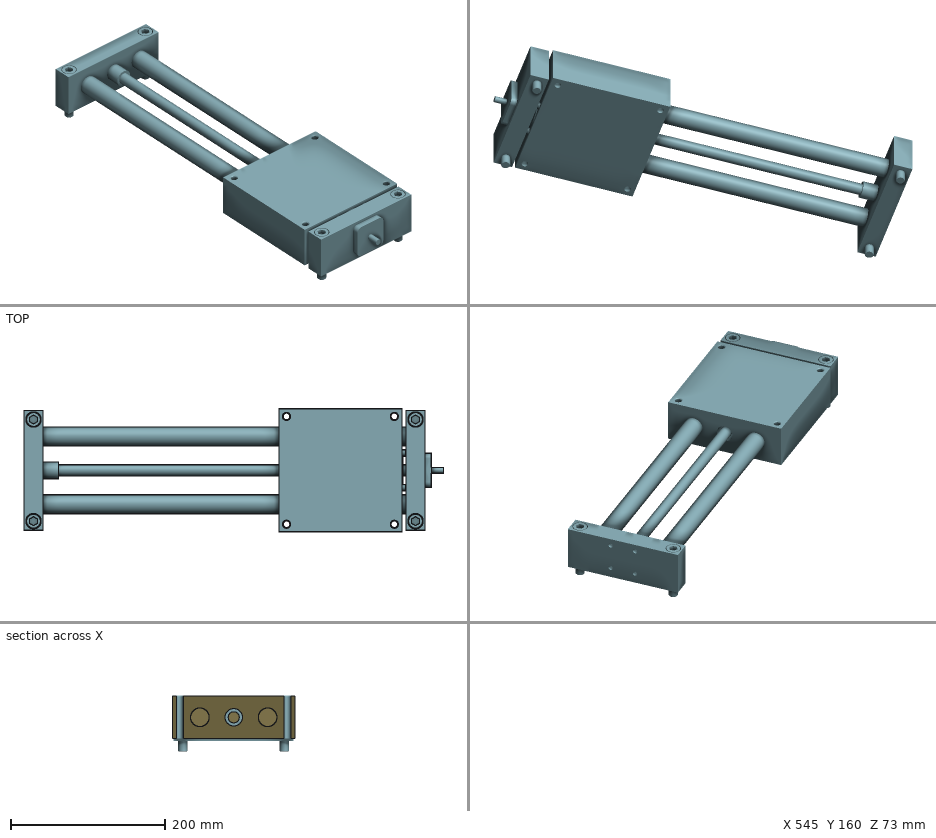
import cadquery as cq
import math


plate_thickness = 25.0
plate_width = 156.0
plate_top = 27.0
plate_bottom = -31.0
plate_height = plate_top - plate_bottom
plate_gap = 471.0
drive_plate_start = plate_thickness + plate_gap
drive_plate_end = drive_plate_start + plate_thickness

bearing_hole_diameter = 6.2
bearing_hole_depth = 12.0
bearing_hole_pitch = 34.5

screw_spacing = 132.0
screw_diameter = 12.0
screw_projection = 14.0
screw_tip_chamfer = 1.0
head_diameter = 18.0
head_height = 12.0
head_recess_diameter = 20.0
socket_across_flats = 10.0
socket_depth = 6.0
socket_turn = 30.0

rod_diameter = 25.0
rod_spacing = 88.0
lead_screw_diameter = 15.0
collar_diameter = 22.0
collar_length = 20.0

flange_size = 45.0
flange_thickness = 8.0
flange_corner_radius = 7.0
shaft_diameter = 8.0
shaft_length = 16.0

carriage_length = 160.0
carriage_width = 160.0
carriage_height = 56.0
nut_clearance = 5.0
carriage_end = drive_plate_start - nut_clearance
carriage_start = carriage_end - carriage_length
carriage_hole_diameter = 8.5
carriage_hole_mouth_diameter = 10.5
countersink_angle = 90.0
carriage_hole_pitch = 140.0
lead_screw_bore = 22.0

nut_flange_diameter = 48.0
nut_flange_thickness = 1.5
nut_screw_head_diameter = 8.5
nut_screw_head_projection = 4.5
nut_screw_spacing_y = 45.0
nut_screw_spacing_z = 39.0


def cylinder_x(diameter, start, length, y=0.0, z=0.0):
    """Cylinder along X that begins at X = start."""
    return cq.Workplane("YZ", origin=(start, y, z)).circle(diameter / 2).extrude(length)


def cylinder_z(diameter, bottom, height, x, y):
    """Cylinder along Z that begins at Z = bottom."""
    return cq.Workplane("XY", origin=(x, y, bottom)).circle(diameter / 2).extrude(height)


def block(length, width, height, start, bottom):
    """Box centred on Y = 0 that begins at X = start and Z = bottom."""
    box = cq.Workplane("XY").box(length, width, height, centered=(False, True, False))
    return box.translate((start, 0, bottom))


def mounting_screw(plate, x, y):
    """Sink one socket head screw into an end plate and let its shank stand out below."""
    head_bottom = plate_top - head_height
    recess = cylinder_z(head_recess_diameter, head_bottom, head_height, x, y)
    head = cylinder_z(head_diameter, head_bottom, head_height, x, y)
    socket = (
        cq.Workplane("XY", origin=(x, y, plate_top - socket_depth))
        .polygon(6, socket_across_flats / math.cos(math.pi / 6))
        .extrude(socket_depth)
        .rotate((x, y, 0), (x, y, 1), socket_turn)
    )
    tip = plate_bottom - screw_projection
    shank = cylinder_z(screw_diameter, tip, head_bottom - tip, x, y)
    shank = shank.faces("<Z").chamfer(screw_tip_chamfer)
    return plate.cut(recess).union(head).cut(socket).union(shank)


def end_plate(start):
    """End plate with its two mounting screws."""
    plate = block(plate_thickness, plate_width, plate_height, start, plate_bottom)
    for side in (-1, 1):
        plate = mounting_screw(plate, start + plate_thickness / 2, side * screw_spacing / 2)
    return plate


def idle_plate():
    """End plate with a square pattern of blind holes in its outer face."""
    holes = (
        cq.Workplane("YZ")
        .rarray(bearing_hole_pitch, bearing_hole_pitch, 2, 2)
        .circle(bearing_hole_diameter / 2)
        .extrude(bearing_hole_depth)
    )
    return end_plate(0.0).cut(holes)


def drive_flange():
    """Square flange with rounded corners, and the drive shaft that stands out of it."""
    flange = (
        cq.Workplane("YZ", origin=(drive_plate_end, 0, 0))
        .rect(flange_size, flange_size)
        .extrude(flange_thickness)
        .edges("|X")
        .fillet(flange_corner_radius)
    )
    shaft = cylinder_x(shaft_diameter, drive_plate_end + flange_thickness, shaft_length)
    return flange.union(shaft)


def make_frame():
    """Fixed body: end plates, guide rods, lead screw and drive flange."""
    frame = idle_plate().union(end_plate(drive_plate_start)).union(drive_flange())
    for side in (-1, 1):
        frame = frame.union(cylinder_x(rod_diameter, plate_thickness, plate_gap, side * rod_spacing / 2))
    frame = frame.union(cylinder_x(lead_screw_diameter, plate_thickness, plate_gap))
    return frame.union(cylinder_x(collar_diameter, plate_thickness, collar_length))


def make_carriage():
    """Sliding body: block with guide bores, mounting holes and a nut flange."""
    carriage = block(carriage_length, carriage_width, carriage_height, carriage_start, -carriage_height / 2)
    carriage = (
        carriage.faces(">Z")
        .workplane(origin=((carriage_start + carriage_end) / 2, 0, 0))
        .rarray(carriage_hole_pitch, carriage_hole_pitch, 2, 2)
        .cskHole(carriage_hole_diameter, carriage_hole_mouth_diameter, countersink_angle)
    )
    for side in (-1, 1):
        bore = cylinder_x(rod_diameter, carriage_start, carriage_length, side * rod_spacing / 2)
        carriage = carriage.cut(bore)
    carriage = carriage.cut(cylinder_x(lead_screw_bore, carriage_start, carriage_length))

    nut = cylinder_x(nut_flange_diameter, carriage_end, nut_flange_thickness)
    heads = (
        cq.Workplane("YZ", origin=(carriage_end, 0, 0))
        .rarray(nut_screw_spacing_y, nut_screw_spacing_z, 2, 2)
        .circle(nut_screw_head_diameter / 2)
        .extrude(nut_screw_head_projection)
    )
    nut = nut.union(heads).cut(cylinder_x(lead_screw_diameter, carriage_end, nut_flange_thickness))
    return carriage.union(nut)


frame = make_frame()
carriage = make_carriage()
result = cq.Compound.makeCompound([frame.val(), carriage.val()])